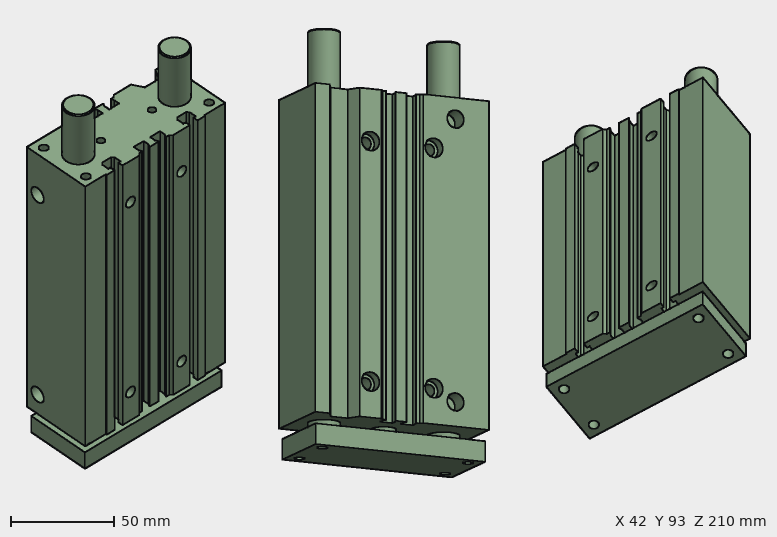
import cadquery as cq


TOTAL_HEIGHT = 210.0
HOUSING_WIDTH_X = 42.0
HOUSING_LENGTH_Y = 93.0
HOUSING_TOP_Z = 179.0
HALF_WIDTH = HOUSING_WIDTH_X / 2
HALF_LENGTH = HOUSING_LENGTH_Y / 2

PLATE_WIDTH_X = 38.0
PLATE_LENGTH_Y = 91.0
PLATE_THICKNESS = 10.3
PLATE_GAP = 5.2
HOUSING_BOTTOM_Z = PLATE_THICKNESS + PLATE_GAP
HOUSING_HEIGHT = HOUSING_TOP_Z - HOUSING_BOTTOM_Z
GUIDE_ROD_DIAMETER = 16.0
GUIDE_ROD_SPACING = 64.0
GUIDE_ROD_Y = GUIDE_ROD_SPACING / 2
GUIDE_ROD_CHAMFER = 0.6
PISTON_ROD_DIAMETER = 12.0
PLATE_HOLE_DIAMETER = 5.0
PLATE_HOLE_X = 13.0
PLATE_HOLE_Y = 39.0

RELIEF_DEPTH = 0.6
RELIEF_START_Y = 32.8

CHANNEL_DEPTH = 1.3
CHANNEL_TOP_HALF_WIDTH = 11.3
CHANNEL_FLOOR_HALF_WIDTH = 9.9

SENSOR_SLOT_Y = 5.5
SENSOR_SLOT_MOUTH_WIDTH = 5.0
SENSOR_SLOT_INNER_WIDTH = 6.5
SENSOR_SLOT_FLARE_START = 1.7
SENSOR_SLOT_FLARE_END = 3.2
SENSOR_SLOT_DEPTH = 6.5

T_SLOT_Y = 25.0
T_SLOT_MOUTH_WIDTH = 5.2
T_SLOT_HEAD_WIDTH = 8.2
T_SLOT_NECK_DEPTH = 3.0
T_SLOT_DEPTH = 8.5
T_SLOT_CORNER = 1.0

SIDE_GROOVE_Y = 30.9
SIDE_GROOVE_MOUTH_WIDTH = 16.2
SIDE_GROOVE_FLOOR_WIDTH = 9.2
SIDE_GROOVE_DEPTH = 6.0

END_HOLE_DEPTH = 18.0
CORNER_HOLE_DIAMETER = 4.8
CORNER_HOLE_X = 15.0
CORNER_HOLE_Y = 41.0
CENTRE_HOLE_DIAMETER = 4.2
CENTRE_HOLE_Y = 17.0

MOUNT_HOLE_DIAMETER = 6.0
MOUNT_COUNTERBORE_DIAMETER = 9.5
MOUNT_COUNTERBORE_DEPTH = 5.9
MOUNT_HOLE_Y = 17.0
MOUNT_HOLE_LEVELS = (33.4, 152.9)

PORT_DIAMETER = 8.8
PORT_DEPTH = 10.0
LOWER_PORT_Z = 27.7
FACE_PORT_Y = -28.5
FACE_PORT_LEVELS = (LOWER_PORT_Z, 168.2)
END_PORT_X = -13.5
END_PORT_LEVELS = (LOWER_PORT_Z, 153.3)


def groove(side, centre_y, steps):
    """Groove on the side = -1 (-X) or +1 (+X) face; steps lists (depth, half width) from the face inward."""
    upper = [(side * (HALF_WIDTH - depth), centre_y + half) for depth, half in steps]
    lower = [(side * (HALF_WIDTH - depth), centre_y - half) for depth, half in reversed(steps)]
    return (
        cq.Workplane("XY", origin=(0, 0, HOUSING_BOTTOM_Z))
        .polyline(upper + lower)
        .close()
        .extrude(HOUSING_HEIGHT)
    )


def sensor_channel(side):
    return groove(side, 0, [(0, CHANNEL_TOP_HALF_WIDTH), (CHANNEL_DEPTH, CHANNEL_FLOOR_HALF_WIDTH)])


def sensor_slot(side, centre_y):
    mouth = SENSOR_SLOT_MOUTH_WIDTH / 2
    inner = SENSOR_SLOT_INNER_WIDTH / 2
    return groove(side, centre_y, [
        (0, mouth),
        (SENSOR_SLOT_FLARE_START, mouth),
        (SENSOR_SLOT_FLARE_END, inner),
        (SENSOR_SLOT_DEPTH, inner),
    ])


def t_slot(centre_y):
    mouth = T_SLOT_MOUTH_WIDTH / 2
    head = T_SLOT_HEAD_WIDTH / 2
    return groove(1, centre_y, [
        (0, mouth),
        (T_SLOT_NECK_DEPTH, mouth),
        (T_SLOT_NECK_DEPTH, head),
        (T_SLOT_DEPTH - T_SLOT_CORNER, head),
        (T_SLOT_DEPTH, head - T_SLOT_CORNER),
    ])


def side_groove():
    return groove(-1, SIDE_GROOVE_Y, [
        (0, SIDE_GROOVE_MOUTH_WIDTH / 2),
        (SIDE_GROOVE_DEPTH, SIDE_GROOVE_FLOOR_WIDTH / 2),
    ])


def edge_relief(end):
    """Set-back strip on the +X side, at the end = -1 (-Y) or +1 (+Y) edge."""
    strip_width = HALF_LENGTH - RELIEF_START_Y
    return groove(1, end * (RELIEF_START_Y + strip_width / 2), [
        (0, strip_width / 2),
        (RELIEF_DEPTH, strip_width / 2),
    ])


def end_holes():
    """Blind holes in the top end: one in each corner, two on the centre line."""
    top = cq.Workplane("XY", origin=(0, 0, HOUSING_TOP_Z))
    corner = (
        top.rect(2 * CORNER_HOLE_X, 2 * CORNER_HOLE_Y, forConstruction=True)
        .vertices()
        .circle(CORNER_HOLE_DIAMETER / 2)
        .extrude(-END_HOLE_DEPTH)
    )
    centre = (
        top.pushPoints([(0, -CENTRE_HOLE_Y), (0, CENTRE_HOLE_Y)])
        .circle(CENTRE_HOLE_DIAMETER / 2)
        .extrude(-END_HOLE_DEPTH)
    )
    return corner.add(centre).combine()


def holes_in_minus_x_face(points, diameter, depth):
    """Holes bored from the -X face toward +X; points are (Y, Z)."""
    return (
        cq.Workplane("YZ", origin=(-HALF_WIDTH, 0, 0))
        .pushPoints(points)
        .circle(diameter / 2)
        .extrude(depth)
    )


def mount_holes():
    """Four through holes along X, counterbored from the -X face."""
    points = [(y, z) for y in (-MOUNT_HOLE_Y, MOUNT_HOLE_Y) for z in MOUNT_HOLE_LEVELS]
    through = holes_in_minus_x_face(points, MOUNT_HOLE_DIAMETER, HOUSING_WIDTH_X)
    counterbores = holes_in_minus_x_face(points, MOUNT_COUNTERBORE_DIAMETER, MOUNT_COUNTERBORE_DEPTH)
    return through.union(counterbores)


def face_ports():
    return holes_in_minus_x_face([(FACE_PORT_Y, z) for z in FACE_PORT_LEVELS], PORT_DIAMETER, PORT_DEPTH)


def end_ports():
    """Blind ports bored from the -Y end toward +Y."""
    return (
        cq.Workplane("XZ", origin=(0, -HALF_LENGTH, 0))
        .pushPoints([(END_PORT_X, z) for z in END_PORT_LEVELS])
        .circle(PORT_DIAMETER / 2)
        .extrude(-PORT_DEPTH)
    )


def guide_bores():
    return (
        cq.Workplane("XY", origin=(0, 0, HOUSING_BOTTOM_Z))
        .pushPoints([(0, -GUIDE_ROD_Y), (0, GUIDE_ROD_Y)])
        .circle(GUIDE_ROD_DIAMETER / 2)
        .extrude(HOUSING_HEIGHT)
    )


def make_housing():
    body = (
        cq.Workplane("XY", origin=(0, 0, HOUSING_BOTTOM_Z))
        .rect(HOUSING_WIDTH_X, HOUSING_LENGTH_Y)
        .extrude(HOUSING_HEIGHT)
    )
    for side in (-1, 1):
        body = body.cut(sensor_channel(side))
        for end in (-1, 1):
            body = body.cut(sensor_slot(side, end * SENSOR_SLOT_Y))
    for end in (-1, 1):
        body = body.cut(t_slot(end * T_SLOT_Y)).cut(edge_relief(end))
    for cutter in (side_groove(), end_holes(), mount_holes(), face_ports(), end_ports(), guide_bores()):
        body = body.cut(cutter)
    return body


def make_guide_rod(y):
    return (
        cq.Workplane("XY", origin=(0, y, PLATE_THICKNESS))
        .circle(GUIDE_ROD_DIAMETER / 2)
        .extrude(TOTAL_HEIGHT - PLATE_THICKNESS)
        .faces(">Z")
        .chamfer(GUIDE_ROD_CHAMFER)
    )


def make_plate_with_rods():
    """Tool plate, two guide rods through the housing, and a piston rod up to the housing underside."""
    plate = cq.Workplane("XY").rect(PLATE_WIDTH_X, PLATE_LENGTH_Y).extrude(PLATE_THICKNESS)
    plate_holes = (
        cq.Workplane("XY")
        .rect(2 * PLATE_HOLE_X, 2 * PLATE_HOLE_Y, forConstruction=True)
        .vertices()
        .circle(PLATE_HOLE_DIAMETER / 2)
        .extrude(PLATE_THICKNESS)
    )
    piston_rod = (
        cq.Workplane("XY", origin=(0, 0, PLATE_THICKNESS))
        .circle(PISTON_ROD_DIAMETER / 2)
        .extrude(PLATE_GAP)
    )
    body = plate.cut(plate_holes).union(piston_rod)
    for end in (-1, 1):
        body = body.union(make_guide_rod(end * GUIDE_ROD_Y))
    return body


housing = make_housing()
plate_with_rods = make_plate_with_rods()

result = cq.Compound.makeCompound([housing.val(), plate_with_rods.val()])